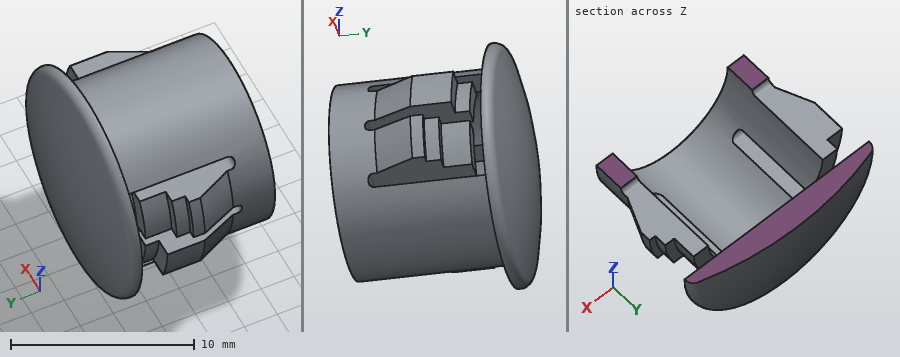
import cadquery as cq


head_radius = 6.75
head_height = 1.58
dome_edge_radius = 6.35
dome_edge_height = 0.65
rim_height = 0.12
rim_bulge_radius = 6.6
rim_bulge_height = 0.49

barrel_radius = 5.4
bore_radius = 4.2
barrel_length = 8.72

slot_width = 0.62
finger_width = 2.38
slot_depth = 6.71
slot_pitch = slot_width + finger_width
window_height = 2 * slot_pitch + slot_width

finger_gap = 0.92
neck_radius = 5.26
middle_step_radius = 5.93
catch_radius = 6.35
plain_catch_depth = 1.73
middle_step_depth = 2.5
stepped_catch_depth = 3.31
ramp_start_depth = 4.0
ramp_end_depth = 6.17


def revolve_about_y(sketch):
    return sketch.close().revolve(360, (0, 0, 0), (0, 1, 0))


def make_head():
    profile = (
        cq.Workplane("XY")
        .lineTo(head_radius, 0)
        .lineTo(head_radius, rim_height)
        .threePointArc((rim_bulge_radius, rim_bulge_height), (dome_edge_radius, dome_edge_height))
    )
    rise = head_height - dome_edge_height
    sphere_radius = (dome_edge_radius**2 + rise**2) / (2 * rise)
    middle_radius = dome_edge_radius / 2
    middle_drop = sphere_radius - (sphere_radius**2 - middle_radius**2) ** 0.5
    profile = profile.threePointArc((middle_radius, head_height - middle_drop), (0, head_height))
    return revolve_about_y(profile)


def make_barrel():
    tube = (
        cq.Workplane("XZ")
        .circle(barrel_radius)
        .circle(bore_radius)
        .extrude(barrel_length)
    )
    window = cq.Workplane("XY").box(
        2 * head_radius, ramp_end_depth, window_height, centered=(True, False, True)
    ).translate((0, -ramp_end_depth, 0))
    return tube.cut(window)


def make_finger(step_points, side, level):
    """Finger on one X side (-1 or 1), above (1) or below (-1) the middle slot."""
    outline = [(bore_radius, -finger_gap), (neck_radius, -finger_gap)]
    outline += step_points
    outline += [
        (catch_radius, -ramp_start_depth),
        (barrel_radius, -ramp_end_depth),
        (barrel_radius, -barrel_length),
        (bore_radius, -barrel_length),
    ]
    ring = revolve_about_y(cq.Workplane("XY").polyline(outline))
    strip = cq.Workplane("XY").box(
        head_radius, barrel_length, finger_width + slot_width, centered=(True, False, True)
    ).translate((side * head_radius / 2, -barrel_length, level * slot_pitch / 2))
    return ring.intersect(strip)


def make_slot(height):
    end_radius = slot_width / 2
    straight_depth = slot_depth - end_radius
    return (
        cq.Workplane("YZ")
        .moveTo(0, height - end_radius)
        .lineTo(-straight_depth, height - end_radius)
        .threePointArc((-slot_depth, height), (-straight_depth, height + end_radius))
        .lineTo(0, height + end_radius)
        .close()
        .extrude(head_radius, both=True)
    )


plain_steps = [
    (neck_radius, -plain_catch_depth),
    (catch_radius, -plain_catch_depth),
]
double_steps = [
    (neck_radius, -middle_step_depth),
    (middle_step_radius, -middle_step_depth),
    (middle_step_radius, -stepped_catch_depth),
    (catch_radius, -stepped_catch_depth),
]

body = make_barrel()
for side in (-1, 1):
    for level in (-1, 1):
        steps = plain_steps if side == level else double_steps
        body = body.union(make_finger(steps, side, level))

for height in (-slot_pitch, 0, slot_pitch):
    body = body.cut(make_slot(height))

result = body.union(make_head())